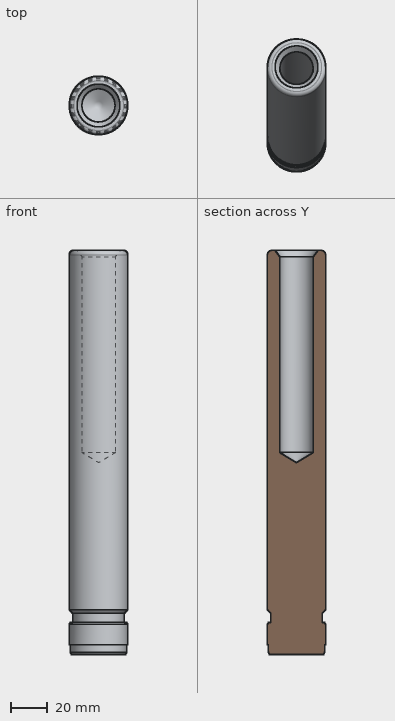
import cadquery as cq
import math

length = 220.0
outer_diameter = 32.0
outer_radius = outer_diameter / 2
top_round = 2.5

lead_radius = 15.5
lead_height = 5.3
foot_chamfer_width = 0.7
foot_chamfer_height = 1.3

groove_radius = 14.0
groove_bottom = 17.5
ledge_chamfer_width = 0.7
ledge_chamfer_height = 1.0
groove_floor_top = 22.5
groove_top = 24.5

bore_radius = 9.0
bore_depth = 110.0
mouth_radius = 11.7
mouth_depth = 3.5
drill_point_angle = 118.0
drill_point_height = bore_radius / math.tan(math.radians(drill_point_angle / 2))


def make_body():
    """Revolve the stepped outer profile and round its top rim."""
    profile = (
        cq.Workplane("XZ")
        .lineTo(lead_radius - foot_chamfer_width, 0)
        .lineTo(lead_radius, foot_chamfer_height)
        .lineTo(lead_radius, lead_height)
        .lineTo(outer_radius, lead_height)
        .lineTo(outer_radius, groove_bottom - ledge_chamfer_height)
        .lineTo(outer_radius - ledge_chamfer_width, groove_bottom)
        .lineTo(groove_radius, groove_bottom)
        .lineTo(groove_radius, groove_floor_top)
        .lineTo(outer_radius, groove_top)
        .lineTo(outer_radius, length)
        .lineTo(0, length)
        .close()
    )
    body = profile.revolve(360, (0, 0, 0), (0, 1, 0))
    return body.faces(">Z").edges().fillet(top_round)


def make_bore():
    """Revolve the bore, from its drill point up to the countersunk mouth."""
    floor = length - bore_depth
    profile = (
        cq.Workplane("XZ")
        .moveTo(0, floor - drill_point_height)
        .lineTo(bore_radius, floor)
        .lineTo(bore_radius, length - mouth_depth)
        .lineTo(mouth_radius, length)
        .lineTo(0, length)
        .close()
    )
    return profile.revolve(360, (0, 0, 0), (0, 1, 0))


result = make_body().cut(make_bore())